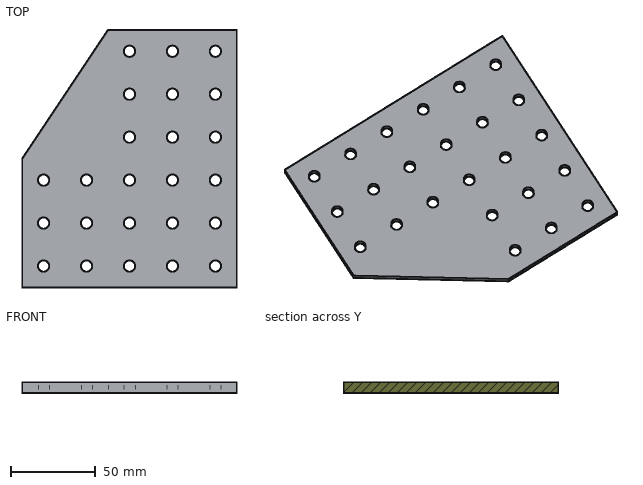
import cadquery as cq

length = 152.4
thickness = 6.4
hole_diameter = 6.5

columns = 5
rows = 6
cut_columns = 2
cut_rows = 3

pitch = length / rows
width = columns * pitch
slope_start_x = cut_columns * pitch
slope_end_y = (rows - cut_rows) * pitch


def make_plate():
    """Flat plate with its -X, +Y corner cut off by a straight slope."""
    outline = [
        (0, 0),
        (width, 0),
        (width, length),
        (slope_start_x, length),
        (0, slope_end_y),
    ]
    return cq.Workplane("XY").polyline(outline).close().extrude(thickness)


def hole_centers():
    """Cell centres, leaving out the block of cells at the sloped corner."""
    return [
        ((column + 0.5) * pitch, (row + 0.5) * pitch)
        for column in range(columns)
        for row in range(rows)
        if column >= cut_columns or row < rows - cut_rows
    ]


def make_holes():
    """Cylinders that pierce the full thickness."""
    return (
        cq.Workplane("XY")
        .pushPoints(hole_centers())
        .circle(hole_diameter / 2)
        .extrude(thickness)
    )


result = make_plate().cut(make_holes())